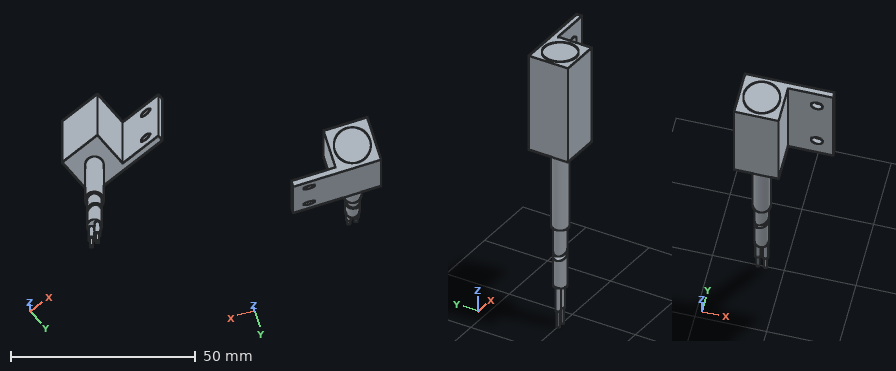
import cadquery as cq
import math

block_side = 12.5
housing_height = 30.0
flange_reach = 25.0
flange_thickness = 1.7
hole_diameter = 3.2
hole_x = 20.5
hole_end_distance = 6.0
cap_diameter = 10.0
cap_recess_depth = 0.2

total_length = 87.15
sleeve_diameter = 5.05
sleeve_end_z = -55.5
jacket_diameter = 4.0
jacket_end_z = -74.3
insulation_diameter = 1.6
insulation_end_z = -82.0
core_diameter = 0.9
wire_offset = 1.05

break_angle = 30.0
break_gap = 1.4
upper_break_z = -63.1

axis_x = block_side / 2
axis_y = block_side / 2


def rod(diameter, top_z, bottom_z, x=axis_x):
    """Vertical cylinder between two heights."""
    return (
        cq.Workplane("XY", origin=(x, axis_y, bottom_z))
        .circle(diameter / 2)
        .extrude(top_z - bottom_z)
    )


def jacket_region(edge_z, end_z):
    """Block round the jacket from a slanted face, edge_z high on the axis, to a flat face at end_z."""
    half_width = jacket_diameter
    rise = half_width * math.tan(math.radians(break_angle))
    return (
        cq.Workplane("XZ", origin=(axis_x, axis_y, 0))
        .moveTo(-half_width, edge_z - rise)
        .lineTo(half_width, edge_z + rise)
        .lineTo(half_width, end_z)
        .lineTo(-half_width, end_z)
        .close()
        .extrude(half_width, both=True)
    )


def make_housing():
    """Block and flange with the sleeve and the upper length of cable."""
    block = cq.Workplane("XY").box(block_side, block_side, housing_height, centered=False)
    flange = (
        cq.Workplane("XY", origin=(0, block_side - flange_thickness, 0))
        .box(flange_reach, flange_thickness, housing_height, centered=False)
    )
    body = block.union(flange).translate((0, 0, -housing_height))

    for hole_z in (-hole_end_distance, hole_end_distance - housing_height):
        hole = (
            cq.Workplane("XZ", origin=(hole_x, block_side, hole_z))
            .circle(hole_diameter / 2)
            .extrude(flange_thickness)
        )
        body = body.cut(hole)

    body = body.cut(rod(cap_diameter, 0, -cap_recess_depth))

    sleeve = rod(sleeve_diameter, -housing_height, sleeve_end_z)
    jacket = rod(jacket_diameter, sleeve_end_z, jacket_end_z)
    upper_jacket = jacket.intersect(jacket_region(upper_break_z, sleeve_end_z))
    return body.union(sleeve).union(upper_jacket)


def make_cable_end():
    """Lower length of cable with two stripped wires."""
    lower_break_z = upper_break_z - break_gap
    jacket = rod(jacket_diameter, sleeve_end_z, jacket_end_z)
    cable = jacket.intersect(jacket_region(lower_break_z, jacket_end_z))
    for side in (-1, 1):
        wire_x = axis_x + side * wire_offset
        cable = cable.union(rod(insulation_diameter, jacket_end_z, insulation_end_z, wire_x))
        cable = cable.union(rod(core_diameter, insulation_end_z, -total_length, wire_x))
    return cable


housing = make_housing()
cable_end = make_cable_end()

result = cq.Compound.makeCompound([housing.val(), cable_end.val()])